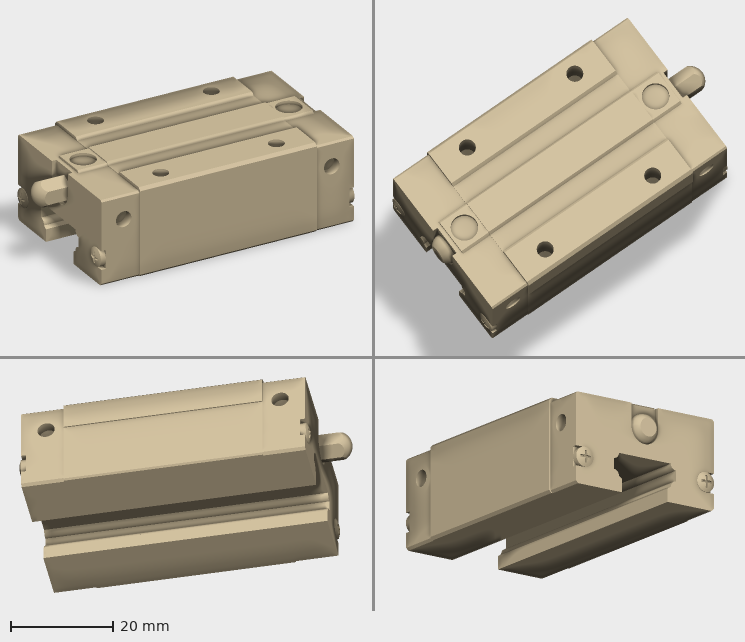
import cadquery as cq
import math


block_width = 34.0
block_height = 19.5
block_length = 39.7
block_top_chamfer = 0.65
block_bottom_chamfer = 0.6
side_relief = 0.25
side_relief_top = 13.45
pad_inner_x = 8.8
groove_depth = 0.65

ridge_base_half_width = 4.1
ridge_top_half_width = 3.6
cap_ridge_height = 19.25

cap_width = 33.3
cap_height = 18.75
cap_length = 6.6
cap_top_chamfer = 0.4
cap_bottom_chamfer = 0.5
plate_thickness = 1.9
cap_end = block_length / 2 + cap_length
plate_end = cap_end + plate_thickness

slot_top = 7.95
slot_half_width = 7.5
slot_mouth_half_width = 5.5
slot_mouth_height = 2.75
lip_radius = 1.2
lower_lip_z = 3.25

mount_spacing = 26.0
mount_diameter = 3.3
mount_depth = 6.0
drill_tip_angle = 118

top_port_y = 23.1
top_port_radius = 2.7
top_port_depth = 0.75

side_port_y = 23.35
side_port_z = 13.5
side_port_radius = 1.7
side_port_depth = 2.2

recess_depth = 1.0
recess_floor = plate_end - recess_depth
fitting_z = 14.0
fitting_recess_radius = 3.2

fitting_across_flats = 5.0
fitting_tip = 34.4
fitting_dome_radius = 3.0

plug_tip = 29.55
plug_base_radius = 3.15
plug_face_radius = 1.9
plug_mid_radius = 2.7
plug_mid_y = 28.8

screw_x = 14.6
screw_z = 5.6
screw_radius = 2.05
screw_rim_height = 1.15
screw_height = 1.65
cross_length = 2.55
cross_width = 0.5
cross_depth = 0.6


def extrude_along_y(outline, y_start, length):
    """Extrude an XZ outline towards +Y, starting at y_start."""
    return outline.extrude(-length).translate((0, y_start, 0))


def polygon_xz(points):
    return cq.Workplane("XZ").polyline(points).close()


def revolve_about_axis(profile):
    """Close a (radius, height) profile and revolve it about the vertical axis of its sketch."""
    return profile.close().revolve(360, (0, 0, 0), (0, 1, 0))


def make_block():
    """Steel block with a centre ridge between two mounting pads and a relieved lower -X side."""
    half = block_width / 2
    relieved = half - side_relief
    groove_z = block_height - groove_depth
    points = [
        (-half + block_bottom_chamfer, 0),
        (half - block_bottom_chamfer, 0),
        (half, block_bottom_chamfer),
        (half, block_height - block_top_chamfer),
        (half - block_top_chamfer, block_height),
        (pad_inner_x, block_height),
        (pad_inner_x - groove_depth, groove_z),
        (ridge_base_half_width, groove_z),
        (ridge_top_half_width, block_height),
        (-ridge_top_half_width, block_height),
        (-ridge_base_half_width, groove_z),
        (-pad_inner_x + groove_depth, groove_z),
        (-pad_inner_x, block_height),
        (-half + block_top_chamfer, block_height),
        (-half, block_height - block_top_chamfer),
        (-half, side_relief_top),
        (-relieved, side_relief_top),
        (-relieved, block_bottom_chamfer - side_relief),
    ]
    return extrude_along_y(polygon_xz(points), -block_length / 2, block_length)


def make_block_space():
    """Plain box around the block, used to clear its place between the end caps."""
    return cq.Workplane("XY").box(block_width, block_length, block_height, centered=(True, True, False))


def make_end_bodies():
    """Both end caps with their plates: a full-length bar with the block's place cut out."""
    bar = cq.Workplane("XY").box(cap_width, 2 * plate_end, cap_height, centered=(True, True, False))
    bar = bar.faces(">Z").edges("|Y").chamfer(cap_top_chamfer)
    bar = bar.faces("<Z").edges("|Y").chamfer(cap_bottom_chamfer)
    return bar.cut(make_block_space())


def make_cap_ridge():
    """Raised ridge on both end caps, in line with the ridge of the block."""
    points = [
        (-ridge_base_half_width, cap_height),
        (ridge_base_half_width, cap_height),
        (ridge_top_half_width, cap_ridge_height),
        (-ridge_top_half_width, cap_ridge_height),
    ]
    both = extrude_along_y(polygon_xz(points), -cap_end, 2 * cap_end)
    return both.cut(make_block_space())


def make_rail_slot():
    """Half of the slot section with its two rounded lips, mirrored about X = 0."""
    diagonal = lip_radius * math.sqrt(0.5)
    lip_tip = slot_half_width - lip_radius
    half = (
        cq.Workplane("XZ")
        .moveTo(0, 0)
        .lineTo(slot_mouth_half_width, 0)
        .lineTo(slot_mouth_half_width, slot_mouth_height)
        .lineTo(lip_tip, lower_lip_z)
        .threePointArc(
            (slot_half_width - diagonal, lower_lip_z + diagonal),
            (slot_half_width, lower_lip_z + lip_radius),
        )
        .lineTo(slot_half_width, slot_top - lip_radius)
        .threePointArc((slot_half_width - diagonal, slot_top - diagonal), (lip_tip, slot_top))
        .lineTo(0, slot_top)
        .close()
    )
    half = extrude_along_y(half, -plate_end, 2 * plate_end)
    return half.union(half.mirror("YZ"))


def make_mount_hole():
    """Blind drilled hole that opens at Z = 0 and goes down to a conical tip."""
    radius = mount_diameter / 2
    tip = radius / math.tan(math.radians(drill_tip_angle / 2))
    points = [(0, 0), (radius, 0), (radius, -mount_depth), (0, -mount_depth - tip)]
    return revolve_about_axis(cq.Workplane("XZ").polyline(points))


def make_plate_recess(radius, reach):
    """U-shaped recess on the Y axis that runs out towards +Z, cut inwards from the +Y plate face."""
    outline = (
        cq.Workplane("XZ")
        .moveTo(radius, 0)
        .lineTo(radius, reach)
        .lineTo(-radius, reach)
        .lineTo(-radius, 0)
        .threePointArc((0, -radius), (radius, 0))
        .close()
    )
    return extrude_along_y(outline, recess_floor, recess_depth)


def make_fitting():
    """Fitting that points towards +Y: a hexagonal bar trimmed by a ball-ended cylinder."""
    across_corners = fitting_across_flats / math.cos(math.pi / 6)
    hexagon = cq.Workplane("XZ").transformed(rotate=(0, 0, 90)).polygon(6, across_corners)
    bar = extrude_along_y(hexagon, recess_floor, fitting_tip - recess_floor)
    dome_center = fitting_tip - fitting_dome_radius
    envelope = (
        cq.Workplane("XY")
        .moveTo(0, recess_floor)
        .lineTo(fitting_dome_radius, recess_floor)
        .lineTo(fitting_dome_radius, dome_center)
        .radiusArc((0, fitting_tip), -fitting_dome_radius)
    )
    return bar.intersect(revolve_about_axis(envelope))


def make_plug():
    """Domed plug that points towards +Y."""
    profile = (
        cq.Workplane("XY")
        .moveTo(0, recess_floor)
        .lineTo(plug_base_radius, recess_floor)
        .threePointArc((plug_mid_radius, plug_mid_y), (plug_face_radius, plug_tip))
        .lineTo(0, plug_tip)
    )
    return revolve_about_axis(profile)


def make_screw():
    """Domed screw head with a cross recess, seated on the recess floor."""
    rim = recess_floor + screw_rim_height
    crown = recess_floor + screw_height
    dome_rise = screw_height - screw_rim_height
    dome_radius = (screw_radius**2 + dome_rise**2) / (2 * dome_rise)
    profile = (
        cq.Workplane("XY")
        .moveTo(0, recess_floor)
        .lineTo(screw_radius, recess_floor)
        .lineTo(screw_radius, rim)
        .radiusArc((0, crown), -dome_radius)
    )
    head = revolve_about_axis(profile)
    for size_x, size_z in ((cross_length, cross_width), (cross_width, cross_length)):
        arm = cq.Workplane("XY").box(size_x, 2 * cross_depth, size_z)
        head = head.cut(arm.translate((0, crown, 0)))
    return head


def face_end(shape, end):
    """Turn a shape built for the +Y end so that it faces the given end (+1 or -1)."""
    return shape if end > 0 else shape.mirror("XZ")


body = make_block().union(make_end_bodies()).union(make_cap_ridge())
body = body.cut(make_rail_slot())

mount_hole = make_mount_hole().translate((0, 0, block_height))
for x in (-mount_spacing / 2, mount_spacing / 2):
    for y in (-mount_spacing / 2, mount_spacing / 2):
        body = body.cut(mount_hole.translate((x, y, 0)))

top_port = cq.Workplane("XY").circle(top_port_radius).extrude(-top_port_depth)
top_port = top_port.translate((0, 0, cap_ridge_height))
side_port = (
    cq.Workplane("YZ")
    .workplane(offset=cap_width / 2 - side_port_depth)
    .center(0, side_port_z)
    .circle(side_port_radius)
    .extrude(side_port_depth)
)
fitting_recess = make_plate_recess(fitting_recess_radius, cap_height - fitting_z)
fitting_recess = fitting_recess.translate((0, 0, fitting_z))
screw_recess = make_plate_recess(screw_radius, cap_width / 2 - screw_x).rotate((0, 0, 0), (0, 1, 0), 90)
screw_recess = screw_recess.translate((screw_x, 0, screw_z))
screw = make_screw().translate((screw_x, 0, screw_z))

for end in (-1, 1):
    body = body.cut(top_port.translate((0, end * top_port_y, 0)))
    body = body.cut(face_end(fitting_recess, end))
    right_port = side_port.translate((0, end * side_port_y, 0))
    body = body.cut(right_port).cut(right_port.mirror("YZ"))
    end_recess = face_end(screw_recess, end)
    body = body.cut(end_recess).cut(end_recess.mirror("YZ"))
    end_screw = face_end(screw, end)
    body = body.union(end_screw).union(end_screw.mirror("YZ"))

body = body.union(face_end(make_fitting().translate((0, 0, fitting_z)), -1))
result = body.union(make_plug().translate((0, 0, fitting_z)))